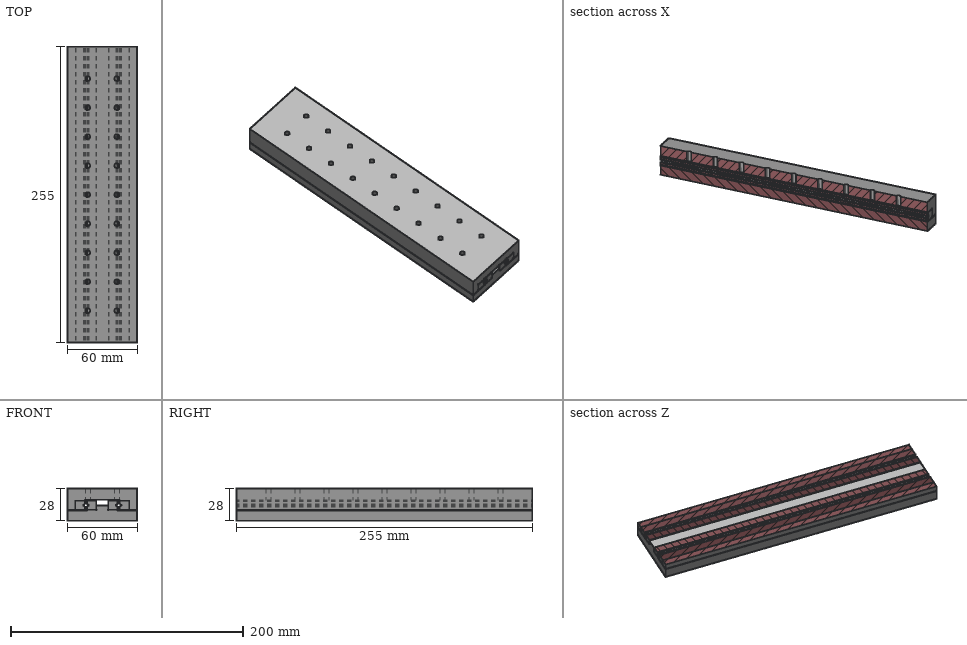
import cadquery as cq

length = 255.0
width = 60.0
height = 28.0

rail_height = 8.2
rail_span = 46.5
rib_width = 10.0
rail_gap = 1.5
rail_chamfer = 0.5
groove_height = 2.8
slot_height = 0.65
slot_depth = 1.5

base_height = 9.0
running_clearance = 0.5
rib_height = 4.5

hole_diameter = 4.0
hole_pitch = 25.0
hole_rows = 9
hole_columns = 2

rail_bottom = base_height + running_clearance
rail_top = rail_bottom + rail_height
rail_middle = rail_bottom + rail_height / 2
table_ceiling = rail_top + running_clearance
outer_side = rail_span / 2
inner_side = rib_width / 2
rail_width = (outer_side - inner_side - rail_gap) / 2
outer_face = outer_side - rail_width
inner_face = inner_side + rail_width


def centred_block(block_width, bottom, top):
    """Full-length block, symmetric about the centre plane."""
    block = cq.Workplane("XY").box(block_width, length, top - bottom, centered=(True, True, False))
    return block.translate((0, 0, bottom))


def make_table():
    """Upper slide with a stepped channel and two rows of through holes."""
    table = centred_block(width, rail_bottom, height)
    outer_rail_seat = centred_block(rail_span, rail_bottom, rail_top)
    inner_rail_relief = centred_block(2 * outer_face, rail_bottom, table_ceiling)
    holes = (
        cq.Workplane("XY")
        .workplane(offset=rail_bottom)
        .rarray(hole_pitch, hole_pitch, hole_columns, hole_rows)
        .circle(hole_diameter / 2)
        .extrude(height - rail_bottom)
    )
    return table.cut(outer_rail_seat).cut(inner_rail_relief).cut(holes)


def make_base():
    """Lower plate with a raised seat for the inner rails and a rib between them."""
    plate = centred_block(width, 0, base_height)
    inner_rail_seat = centred_block(2 * inner_face, 0, rail_bottom)
    rib = centred_block(rib_width, 0, base_height + rib_height)
    return plate.union(inner_rail_seat).union(rib)


def make_rail(back_x, face_x):
    """Chamfered rail with a plain side at back_x and a V groove with a relief slot at face_x."""
    inward = 1 if back_x > face_x else -1
    rail = (
        cq.Workplane("XY")
        .box(rail_width, length, rail_height)
        .edges("|Y")
        .chamfer(rail_chamfer)
        .translate(((back_x + face_x) / 2, 0, rail_middle))
    )
    half_groove = groove_height / 2
    half_slot = slot_height / 2
    groove_bottom = half_groove - half_slot
    groove_outline = [
        (face_x, rail_middle - half_groove),
        (face_x + inward * groove_bottom, rail_middle - half_slot),
        (face_x + inward * slot_depth, rail_middle - half_slot),
        (face_x + inward * slot_depth, rail_middle + half_slot),
        (face_x + inward * groove_bottom, rail_middle + half_slot),
        (face_x, rail_middle + half_groove),
    ]
    groove = cq.Workplane("XZ").polyline(groove_outline).close().extrude(length / 2, both=True)
    return rail.cut(groove)


table = make_table()
base = make_base()

rails = []
for side in (-1, 1):
    outer_rail = make_rail(side * outer_side, side * outer_face)
    inner_rail = make_rail(side * inner_side, side * inner_face)
    rails += [outer_rail.val(), inner_rail.val()]

result = cq.Compound.makeCompound([table.val(), base.val(), *rails])